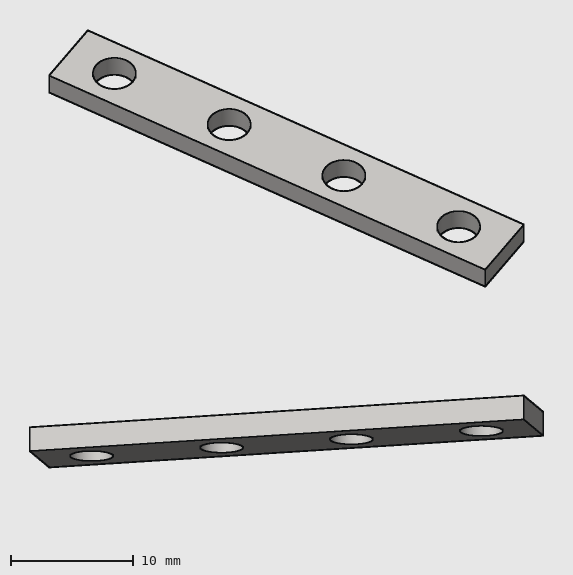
import cadquery as cq

length = 41.8
width = 6.0
thickness = 2.0

hole_count = 4
hole_pitch = 11.0
hole_diameter = 3.5

bar = cq.Workplane("XY").box(length, width, thickness)

result = (
    bar.faces(">Z")
    .workplane()
    .rarray(hole_pitch, width, hole_count, 1)
    .hole(hole_diameter)
)